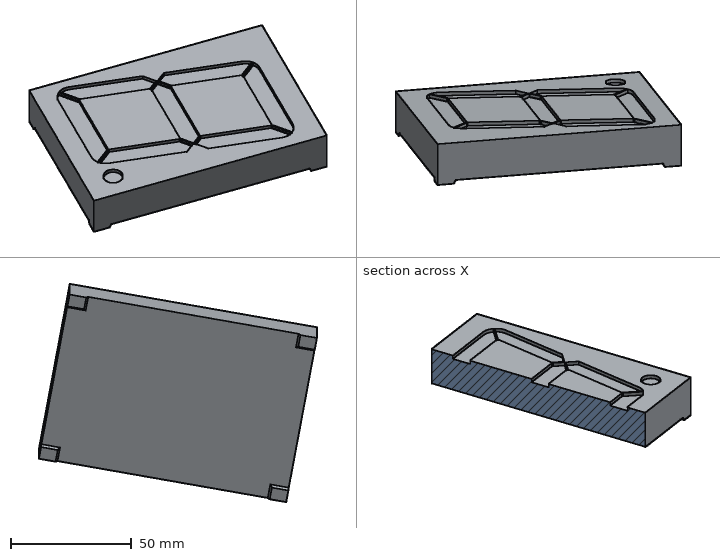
import cadquery as cq
import math

WIDTH = 71.4
LENGTH = 104.0
HEIGHT = 17.9

FOOT_HEIGHT = 1.6
FOOT_WIDTH_X = 5.1
FOOT_WIDTH_Y = 7.0
FOOT_FLARE = 0.8

DIGIT_X = -0.7
DIGIT_Y = -0.8
DIGIT_HALF_WIDTH = 24.5
DIGIT_HALF_HEIGHT = 42.3
STROKE = 8.2
SLANT = math.tan(math.radians(10))
CORNER_RADIUS = 6.2
SEGMENT_GAP = 0.5
RECESS_DEPTH = 1.6

POINT_X = 25.1
POINT_Y = -39.1
POINT_RADIUS = 4.1

BASE_Z = -HEIGHT / 2
TOP_Z = HEIGHT / 2
HALF_STROKE = STROKE / 2
INNER_HALF_WIDTH = DIGIT_HALF_WIDTH - STROKE
INNER_HALF_HEIGHT = DIGIT_HALF_HEIGHT - STROKE


def clearance_channel(plane, span, foot_width, run):
    """Channel of trapezoid section, centred under the block and running right through it."""
    half_mouth = span / 2 - foot_width
    half_roof = half_mouth - FOOT_FLARE
    roof_z = BASE_Z + FOOT_HEIGHT
    section = [(-half_mouth, BASE_Z), (half_mouth, BASE_Z), (half_roof, roof_z), (-half_roof, roof_z)]
    return cq.Workplane(plane).polyline(section).close().extrude(run / 2, both=True)


def slanted_prism(upright_points):
    """Recess-deep prism whose outline is given on the upright digit and then slanted."""
    points = [(DIGIT_X + x + SLANT * y, DIGIT_Y + y) for x, y in upright_points]
    floor = cq.Workplane("XY").workplane(offset=TOP_Z - RECESS_DEPTH)
    return floor.polyline(points).close().extrude(RECESS_DEPTH)


def slanted_box(half_width, bottom, top):
    return slanted_prism([(-half_width, bottom), (half_width, bottom), (half_width, top), (-half_width, top)])


def gap_wall(start, end):
    """Thin wall along a 45 degree mitre between two segments."""
    rise = SEGMENT_GAP / math.sqrt(2)
    (x1, y1), (x2, y2) = start, end
    return slanted_prism([(x1, y1 - rise), (x2, y2 - rise), (x2, y2 + rise), (x1, y1 + rise)])


def digit_recess():
    digit = slanted_box(DIGIT_HALF_WIDTH, -DIGIT_HALF_HEIGHT, DIGIT_HALF_HEIGHT)
    digit = digit.edges("|Z").fillet(CORNER_RADIUS)

    digit = digit.cut(slanted_box(INNER_HALF_WIDTH, HALF_STROKE, INNER_HALF_HEIGHT))
    digit = digit.cut(slanted_box(INNER_HALF_WIDTH, -INNER_HALF_HEIGHT, -HALF_STROKE))

    for side in (-1, 1):
        outer_x = side * DIGIT_HALF_WIDTH
        inner_x = side * INNER_HALF_WIDTH
        node_x = (outer_x + inner_x) / 2
        for end in (-1, 1):
            outer_corner = (outer_x, end * DIGIT_HALF_HEIGHT)
            inner_corner = (inner_x, end * INNER_HALF_HEIGHT)
            digit = digit.cut(gap_wall(outer_corner, inner_corner))
            digit = digit.cut(gap_wall((outer_x, end * HALF_STROKE), (inner_x, -end * HALF_STROKE)))

        wedge = [(node_x, 0), (outer_x, HALF_STROKE), (outer_x, -HALF_STROKE)]
        digit = digit.cut(slanted_prism(wedge))
    return digit


def decimal_point_recess():
    floor = cq.Workplane("XY").workplane(offset=TOP_Z - RECESS_DEPTH)
    return floor.center(POINT_X, POINT_Y).circle(POINT_RADIUS).extrude(RECESS_DEPTH)


result = cq.Workplane("XY").box(WIDTH, LENGTH, HEIGHT)
result = result.cut(clearance_channel("XZ", WIDTH, FOOT_WIDTH_X, LENGTH))
result = result.cut(clearance_channel("YZ", LENGTH, FOOT_WIDTH_Y, WIDTH))
result = result.cut(digit_recess())
result = result.cut(decimal_point_recess())